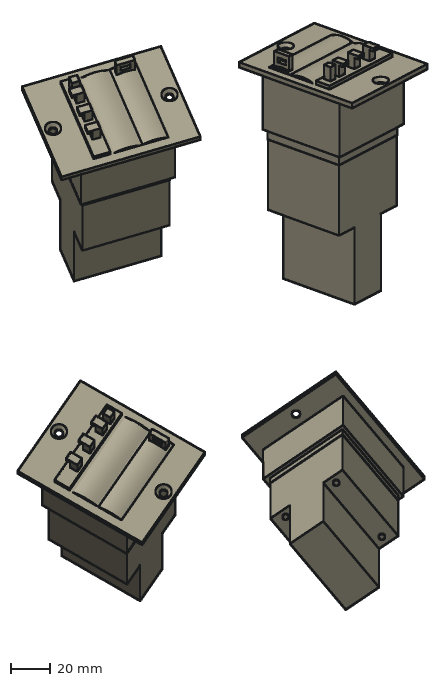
import cadquery as cq

overall_height = 135.0
height_above_plate = 10.0
housing_bottom = height_above_plate - overall_height

plate_x, plate_y, plate_thickness = 60.0, 75.0, 3.0
screw_spacing = 63.0
screw_hole_diameter = 4.2
countersink_diameter = 8.2
countersink_angle = 90.0

upper_body_side = 51.0
upper_body_bottom = -36.0
lower_body_x, lower_body_y = 46.0, 47.2
lower_body_center_x = -0.7
collar_overhang = 0.1
collar_bottom = -41.7
lower_body_bottom = -81.5
tail_x = 21.3
tail_center_x = -0.8

foot_diameter = 3.2
foot_height = 0.8
foot_x_positions = (-16.9, 15.4)
foot_y_positions = (19.8, -18.8)

strip_length = 50.0
dome_height = 1.4
rear_dome_width, rear_dome_center_y = 13.9, 15.0
middle_dome_width, middle_dome_center_y = 14.3, 0.0
key_strip_width, key_strip_center_y = 9.0, -13.9
key_strip_height = 2.0

tab_thickness, tab_width, tab_height = 3.0, 10.0, 9.2
tab_center_x, tab_center_y = -21.6, 15.1
tab_corner_radius = 0.5
window_width, window_height = 5.3, 2.5
window_center_y, window_center_z = 15.0, 4.9

key_back_y = -11.1
post_depth = 4.3
plain_post_x, plain_post_width = -18.6, 3.9
hook_width = 4.5
hook_reach = 6.9
hook_lip_height = 1.8
hook_pitch = 12.0
middle_hook_x = 0.5


def block(size_x, size_y, bottom, top, center_x=0.0, center_y=0.0):
    """Box between two Z levels, centred at the given X and Y."""
    box = cq.Workplane("XY").box(size_x, size_y, top - bottom, centered=(True, True, False))
    return box.translate((center_x, center_y, bottom))


def mounting_plate():
    plate = block(plate_x, plate_y, -plate_thickness, 0)
    return (
        plate.faces(">Z").workplane()
        .pushPoints([(0, screw_spacing / 2), (0, -screw_spacing / 2)])
        .cskHole(screw_hole_diameter, countersink_diameter, countersink_angle)
    )


def housing():
    upper = block(upper_body_side, upper_body_side, upper_body_bottom, -plate_thickness)
    collar = block(
        lower_body_x + 2 * collar_overhang, lower_body_y + 2 * collar_overhang,
        collar_bottom, upper_body_bottom, lower_body_center_x,
    )
    lower = block(lower_body_x, lower_body_y, lower_body_bottom, collar_bottom, lower_body_center_x)
    tail = block(tail_x, lower_body_y, housing_bottom, lower_body_bottom, tail_center_x)
    return upper.union(collar).union(lower).union(tail)


def feet():
    centers = [(x, y) for x in foot_x_positions for y in foot_y_positions]
    base = cq.Workplane("XY").workplane(offset=lower_body_bottom)
    return base.pushPoints(centers).circle(foot_diameter / 2).extrude(-foot_height)


def dome(width, center_y):
    """Shallow arched cover running along X."""
    return (
        cq.Workplane("YZ").workplane(offset=-strip_length / 2)
        .moveTo(center_y - width / 2, 0)
        .threePointArc((center_y, dome_height), (center_y + width / 2, 0))
        .close()
        .extrude(strip_length)
    )


def pierced_tab():
    tab = block(tab_thickness, tab_width, 0, tab_height, tab_center_x, tab_center_y)
    tab = tab.faces(">Z").edges("|X and >Y").fillet(tab_corner_radius)
    window = block(
        2 * tab_thickness, window_width,
        window_center_z - window_height / 2, window_center_z + window_height / 2,
        tab_center_x, window_center_y,
    )
    return tab.cut(window)


def post(width, center_x):
    return block(width, post_depth, 0, height_above_plate, center_x, key_back_y - post_depth / 2)


def hook(center_x):
    """Post with a lip at the top that reaches toward -Y."""
    lip_bottom = height_above_plate - hook_lip_height
    lip = block(
        hook_width, hook_reach, lip_bottom, height_above_plate,
        center_x, key_back_y - hook_reach / 2,
    )
    return post(hook_width, center_x).union(lip)


def key_strip():
    strip = block(strip_length, key_strip_width, 0, key_strip_height, 0, key_strip_center_y)
    strip = strip.union(post(plain_post_width, plain_post_x))
    for step in (-1, 0, 1):
        strip = strip.union(hook(middle_hook_x + step * hook_pitch))
    return strip


result = (
    mounting_plate()
    .union(housing())
    .union(feet())
    .union(dome(rear_dome_width, rear_dome_center_y))
    .union(dome(middle_dome_width, middle_dome_center_y))
    .union(pierced_tab())
    .union(key_strip())
)